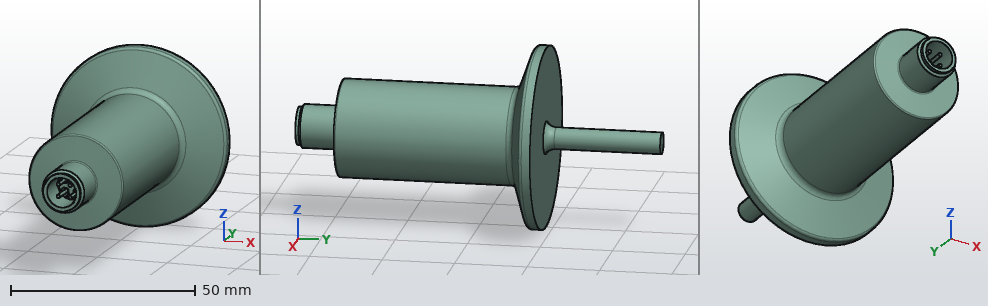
import cadquery as cq
import math

total_length = 100.2
probe_radius = 3.0
flange_radius = 25.2
body_radius = 13.48
collar_radius = 6.0
nose_radius = 5.26
root_radius = 6.3

nose_length = 0.9
collar_start = 1.5
root_start = 11.1
root_end = 11.4
body_start = 12.0
flange_face = 68.3
flange_rim_width = 3.1
flange_slope = math.radians(20)
rim_rounding = 1.0
flange_neck_rounding = 2.0
cap_rounding = 0.4

flare_radius = 4.5
flare_length = 2.7

bore_radius = 4.16
bore_depth = 9.0
core_radius = 3.47
core_height = 1.0
pin_radius = 0.5
pin_offset = 1.69
pin_tip = 2.2
pin_recess_radius = 1.1
key_radius = 0.75
key_offset_x = 1.0
key_offset_z = 3.0


def rounded(solid, radius, position, rounding):
    """Round the circular edge of the given radius lying at Y = position."""
    margin = 0.01
    selector = cq.selectors.BoxSelector(
        (-radius - margin, position - margin, -radius - margin),
        (radius + margin, position + margin, radius + margin),
        boundingbox=True,
    )
    return solid.edges(selector).edges("%CIRCLE").fillet(rounding)


def turned_body():
    rim_corner = flange_face - flange_rim_width
    neck_corner = rim_corner - (flange_radius - body_radius) * math.tan(flange_slope)

    flare_height = flare_radius - probe_radius
    flare_arc = (flare_length**2 + flare_height**2) / (2 * flare_height)
    half_sweep = math.asin(flare_length / flare_arc) / 2
    flare_end = flange_face + flare_length
    flare_middle = (
        probe_radius + flare_arc * (1 - math.cos(half_sweep)),
        flare_end - flare_arc * math.sin(half_sweep),
    )

    root_rounding = root_radius - collar_radius
    root_inset = root_rounding * math.cos(math.pi / 4)
    root_middle = (root_radius - root_inset, root_start + root_inset)

    solid = (
        cq.Workplane("XY")
        .lineTo(nose_radius, 0)
        .lineTo(nose_radius, nose_length)
        .lineTo(collar_radius, collar_start)
        .lineTo(collar_radius, root_start)
        .threePointArc(root_middle, (root_radius, root_end))
        .lineTo(body_radius, body_start)
        .lineTo(body_radius, neck_corner)
        .lineTo(flange_radius, rim_corner)
        .lineTo(flange_radius, flange_face)
        .lineTo(flare_radius, flange_face)
        .threePointArc(flare_middle, (probe_radius, flare_end))
        .lineTo(probe_radius, total_length)
        .lineTo(0, total_length)
        .close()
        .revolve(360, (0, 0), (0, 1))
    )
    solid = rounded(solid, body_radius, body_start, cap_rounding)
    solid = rounded(solid, body_radius, neck_corner, flange_neck_rounding)
    return rounded(solid, flange_radius, rim_corner, rim_rounding)


def rod(radius, x, z, start, end):
    """Cylinder along Y from start to end."""
    base = cq.Vector(x, start, z)
    return cq.Workplane(cq.Solid.makeCylinder(radius, end - start, base, cq.Vector(0, 1, 0)))


def pin_recess(side_x, side_z):
    """Round-ended channel from a pin diagonally out to the bore wall."""
    pin_distance = math.hypot(pin_offset, pin_offset)
    channel_end = bore_radius + pin_recess_radius
    angle = math.degrees(math.atan2(side_z, side_x))
    core_face = bore_depth - core_height
    channel = (
        cq.Workplane("XY")
        .box(channel_end - pin_distance, core_height, 2 * pin_recess_radius)
        .translate(((channel_end + pin_distance) / 2, core_face + core_height / 2, 0))
        .rotate((0, 0, 0), (0, 1, 0), -angle)
    )
    pin_x = side_x * pin_offset
    pin_z = side_z * pin_offset
    round_end = rod(pin_recess_radius, pin_x, pin_z, core_face, bore_depth)
    return channel.union(round_end)


def contact_core():
    """Cross-shaped raised insert at the bottom of the bore, necked by the key at the top."""
    core_face = bore_depth - core_height
    core = rod(core_radius, 0, 0, core_face, bore_depth)
    for side_x in (-1, 1):
        for side_z in (-1, 1):
            core = core.cut(pin_recess(side_x, side_z))
        core = core.cut(rod(key_radius, side_x * key_offset_x, key_offset_z, core_face, bore_depth))
    return core


result = turned_body().cut(rod(bore_radius, 0, 0, 0, bore_depth))
result = result.union(contact_core())
for side_x in (-1, 1):
    for side_z in (-1, 1):
        pin = rod(pin_radius, side_x * pin_offset, side_z * pin_offset, pin_tip, bore_depth)
        result = result.union(pin)